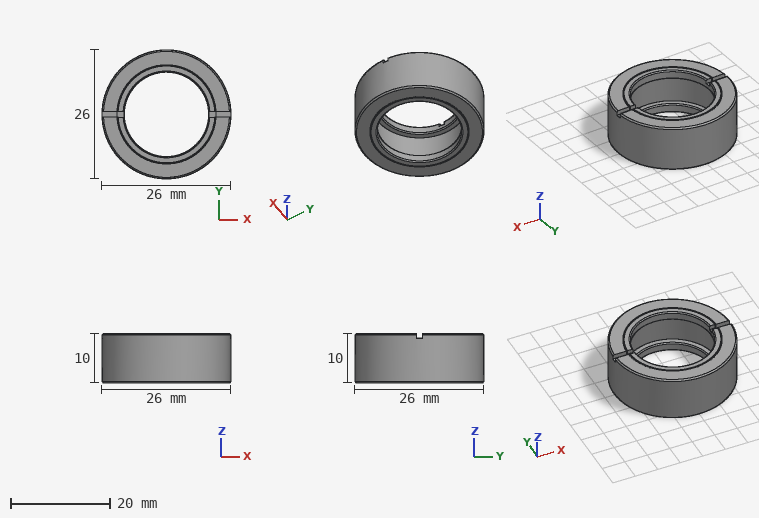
import cadquery as cq

housing_diameter = 26.0
housing_height = 10.0
housing_chamfer = 0.3
bore_diameter = 19.5

ring_outer_diameter = 20.0
ring_inner_diameter = 17.0
ring_thickness = 2.0

groove_chamfer = (ring_outer_diameter - bore_diameter) / 2

housing_slot_width = 1.12
housing_slot_depth = 1.0
ring_slot_width = 1.17
ring_slot_depth = 0.9


def make_slot_cutter(width, depth):
    """Bar along X that cuts a slot into the top face."""
    return (
        cq.Workplane("XY")
        .workplane(offset=housing_height - depth)
        .rect(housing_diameter, width)
        .extrude(depth)
    )


def make_ring(base_z):
    """Flat ring with all four circular edges chamfered."""
    return (
        cq.Workplane("XY")
        .workplane(offset=base_z)
        .circle(ring_outer_diameter / 2)
        .circle(ring_inner_diameter / 2)
        .extrude(ring_thickness)
        .edges()
        .chamfer(groove_chamfer)
    )


def make_housing(seated_rings):
    """Chamfered tube with a top slot and a matching seat for each ring."""
    housing = (
        cq.Workplane("XY")
        .circle(housing_diameter / 2)
        .extrude(housing_height)
        .edges()
        .chamfer(housing_chamfer)
        .faces(">Z")
        .workplane()
        .hole(bore_diameter)
        .edges(cq.selectors.RadiusNthSelector(0))
        .chamfer(groove_chamfer)
    )
    housing = housing.cut(make_slot_cutter(housing_slot_width, housing_slot_depth))
    for ring in seated_rings:
        housing = housing.cut(ring)
    return housing


lower_ring = make_ring(0)
upper_ring = make_ring(housing_height - ring_thickness).cut(
    make_slot_cutter(ring_slot_width, ring_slot_depth)
)
rings = [lower_ring, upper_ring]
housing = make_housing(rings)

result = cq.Compound.makeCompound([housing.val(), *[ring.val() for ring in rings]])